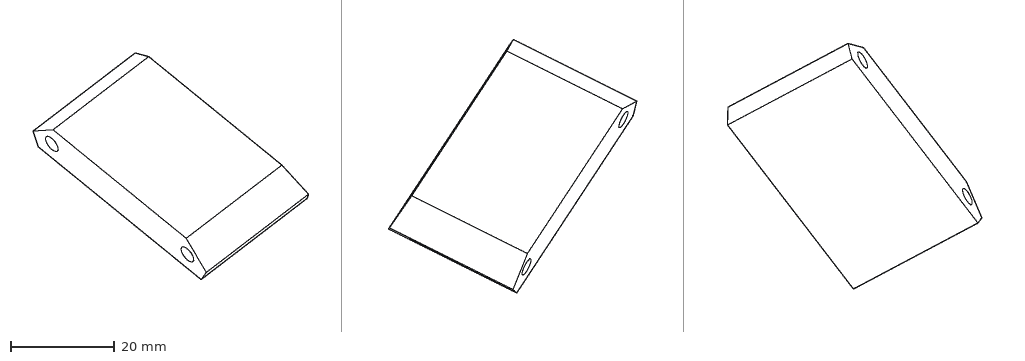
import cadquery as cq

length = 48.35
depth = 28.65
height = 9.25

widest_level = 3.62
bottom_inset = 1.45
top_inset = height - widest_level

back_setback = 2.8
bend_setback = 0.55
bend_level = 2.05

hole_diameter = 3.5
hole_spacing = 37.8
hole_level = 4.45


def make_body():
    """Extrude the symmetric six-sided profile from the front face to the back."""
    half_length = length / 2
    half_bottom = half_length - bottom_inset
    half_top = half_length - top_inset
    return (
        cq.Workplane("XZ")
        .moveTo(-half_bottom, 0)
        .lineTo(half_bottom, 0)
        .lineTo(half_length, widest_level)
        .lineTo(half_top, height)
        .lineTo(-half_top, height)
        .lineTo(-half_length, widest_level)
        .close()
        .extrude(-depth)
    )


def make_back_wedge():
    """Waste behind the back, which leans forward and a little more above the bend."""
    return (
        cq.Workplane("YZ")
        .moveTo(depth, 0)
        .lineTo(depth, height)
        .lineTo(depth - back_setback, height)
        .lineTo(depth - bend_setback, bend_level)
        .close()
        .extrude(length / 2, both=True)
    )


def make_holes():
    """Two parallel cylinders along Y, mirrored about the centre."""
    return (
        cq.Workplane("XZ")
        .pushPoints([(side * hole_spacing / 2, hole_level) for side in (-1, 1)])
        .circle(hole_diameter / 2)
        .extrude(-depth)
    )


result = make_body().cut(make_back_wedge()).cut(make_holes())